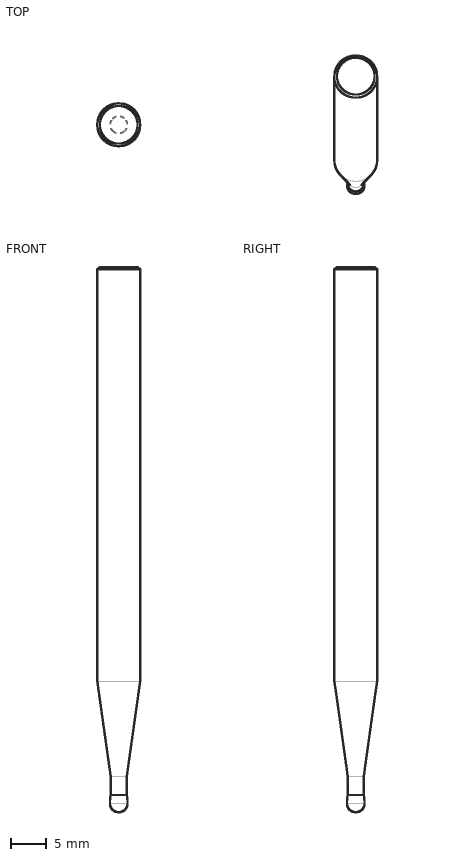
import cadquery as cq

total_length = 76.0
shank_radius = 3.0
shank_start = 18.25
chamfer_width = 0.4
chamfer_height = 0.3
neck_radius = 1.15
neck_start = 2.4
taper_start = 5.0
ball_radius = 1.255


def make_holder():
    """Neck, taper and chamfered shank, revolved as one solid."""
    return (
        cq.Workplane("XZ")
        .moveTo(0, neck_start)
        .lineTo(neck_radius, neck_start)
        .lineTo(neck_radius, taper_start)
        .lineTo(shank_radius, shank_start)
        .lineTo(shank_radius, total_length - chamfer_height)
        .lineTo(shank_radius - chamfer_width, total_length)
        .lineTo(0, total_length)
        .close()
        .revolve(360, (0, 0, 0), (0, 1, 0))
    )


def make_cutting_head():
    """Half-ball tip with a slightly barrelled back that narrows to the neck."""
    equator = (ball_radius, ball_radius)
    return (
        cq.Workplane("XZ")
        .moveTo(0, 0)
        .radiusArc(equator, -ball_radius)
        .tangentArcPoint((neck_radius, neck_start), relative=False)
        .lineTo(0, neck_start)
        .close()
        .revolve(360, (0, 0, 0), (0, 1, 0))
    )


holder = make_holder()
cutting_head = make_cutting_head()

result = cq.Compound.makeCompound([holder.val(), cutting_head.val()])